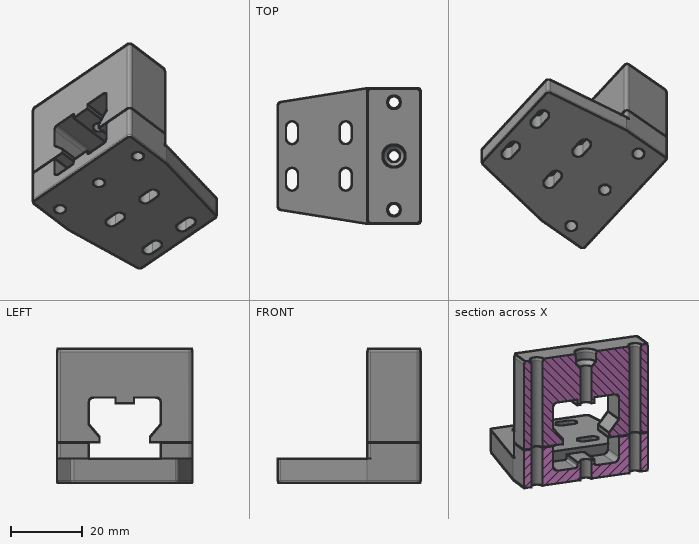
import cadquery as cq

total_height = 37.6
plate_length = 25.0
block_length = 15.0
block_width = 38.0
plate_end_width = 30.0
plate_thickness = 6.9
base_height = 11.3
clamp_gap = 0.1
corner_radius = 1.0

bevel_angle = 15.0
top_bevel_height = 0.95
bottom_bevel_height = 0.75

channel_width = 20.0
ceiling_radius = 1.2
floor_radius = 1.5
rib_foot_radius = 0.65
channel_ceiling = 23.9
channel_floor = 3.9
key_width = 5.3
key_height = 1.6
jaw_opening = 14.0
jaw_lip_top = 12.9
jaw_slope_top = 16.45

hole_diameter = 3.3
side_hole_offset = 15.0
head_bore_diameter = 6.0
head_bore_depth = 3.1
countersink_angle = 90.0
slot_width = 3.3
slot_length = 6.3
slot_first_x = 4.0
slot_pitch_x = 15.0
slot_pitch_y = 13.0

total_length = plate_length + block_length
block_center_x = plate_length + block_length / 2
clamp_bottom = base_height + clamp_gap


def block_outline(z):
    """Rounded rectangular footprint of the upright at height z."""
    rectangle = cq.Sketch().rect(block_length, block_width).vertices().fillet(corner_radius)
    return cq.Workplane("XY", origin=(block_center_x, 0, z)).placeSketch(rectangle)


def plate_outline(z):
    """Footprint of the plate, tapered to its -X end, with the upright's footprint included."""
    outline = (
        cq.Sketch()
        .polygon([
            (0, -plate_end_width / 2),
            (plate_length, -block_width / 2),
            (total_length, -block_width / 2),
            (total_length, block_width / 2),
            (plate_length, block_width / 2),
            (0, plate_end_width / 2),
            (0, -plate_end_width / 2),
        ])
        .vertices("<X or >X")
        .fillet(corner_radius)
    )
    return cq.Workplane("XY", origin=(0, 0, z)).placeSketch(outline)


def channel_box(bottom, top, rounded_side, radius):
    """Straight channel through the upright, rounded along the ceiling (">Z") or floor ("<Z")."""
    return (
        cq.Workplane("XY", origin=(block_center_x, 0, bottom))
        .rect(block_length, channel_width)
        .extrude(top - bottom)
        .faces(rounded_side)
        .edges("|X")
        .fillet(radius)
    )


def key(bottom):
    """Locating rib along the middle of the channel."""
    return (
        cq.Workplane("XY", origin=(block_center_x, 0, bottom))
        .rect(block_length, key_width)
        .extrude(key_height)
    )


def jaw(side):
    """Hook that reaches under the rail; side is +1 or -1 along Y."""
    wall = side * channel_width / 2
    tip = side * jaw_opening / 2
    return (
        cq.Workplane("YZ", origin=(plate_length, 0, 0))
        .polyline([
            (wall, clamp_bottom),
            (tip, clamp_bottom),
            (tip, jaw_lip_top),
            (wall, jaw_slope_top),
        ])
        .close()
        .extrude(block_length)
    )


def screw_holes():
    """Three vertical screw holes through the whole upright."""
    return (
        cq.Workplane("XY")
        .pushPoints([(block_center_x, y) for y in (-side_hole_offset, 0, side_hole_offset)])
        .circle(hole_diameter / 2)
        .extrude(total_height)
    )


def hole_mouth(y, diameter):
    """Bevel that widens a hole of this diameter at the top face."""
    bottom = total_height - top_bevel_height
    return (
        cq.Workplane("XY", origin=(block_center_x, y, bottom))
        .circle(diameter / 2)
        .extrude(top_bevel_height, taper=-bevel_angle)
    )


def head_recess():
    """Cylindrical recess for the middle screw head, ending in a countersink."""
    bottom = total_height - head_bore_depth
    bore = (
        cq.Workplane("XY", origin=(block_center_x, 0, bottom))
        .circle(head_bore_diameter / 2)
        .extrude(head_bore_depth)
    )
    sink_depth = (head_bore_diameter - hole_diameter) / 2
    sink = (
        cq.Workplane("XY", origin=(block_center_x, 0, bottom))
        .circle(head_bore_diameter / 2)
        .extrude(-sink_depth, taper=countersink_angle / 2)
    )
    return bore.union(sink)


def plate_slots():
    """Four mounting slots through the plate, long along Y."""
    center_x = slot_first_x + slot_pitch_x / 2
    return (
        cq.Workplane("XY", origin=(center_x, 0, 0))
        .rarray(slot_pitch_x, slot_pitch_y, 2, 2)
        .slot2D(slot_length, slot_width, 90)
        .extrude(plate_thickness)
    )


def make_base():
    """Tapered mounting plate with the lower half of the rail channel."""
    body = plate_outline(bottom_bevel_height).extrude(plate_thickness - bottom_bevel_height)
    body = body.union(plate_outline(bottom_bevel_height).extrude(-bottom_bevel_height, taper=bevel_angle))
    body = body.union(block_outline(plate_thickness).extrude(base_height - plate_thickness))
    body = body.cut(channel_box(channel_floor, base_height, "<Z", floor_radius))
    body = body.union(key(channel_floor))
    rib_foot = cq.selectors.BoxSelector(
        (plate_length, -key_width, channel_floor - rib_foot_radius),
        (total_length, key_width, channel_floor + rib_foot_radius),
    )
    body = body.edges("|X").edges(rib_foot).fillet(rib_foot_radius)
    return body.cut(screw_holes()).cut(plate_slots())


def make_clamp():
    """Upright clamp block with the upper half of the rail channel and the jaws."""
    bevel_bottom = total_height - top_bevel_height
    body = block_outline(clamp_bottom).extrude(bevel_bottom - clamp_bottom)
    body = body.union(block_outline(bevel_bottom).extrude(top_bevel_height, taper=bevel_angle))
    body = body.cut(channel_box(clamp_bottom, channel_ceiling, ">Z", ceiling_radius))
    body = body.union(key(channel_ceiling - key_height))
    for side in (-1, 1):
        body = body.union(jaw(side))
    body = body.cut(screw_holes()).cut(head_recess())
    body = body.cut(hole_mouth(0, head_bore_diameter))
    for side in (-1, 1):
        body = body.cut(hole_mouth(side * side_hole_offset, hole_diameter))
    return body


base = make_base()
clamp = make_clamp()
result = cq.Compound.makeCompound([base.solids().val(), clamp.solids().val()])